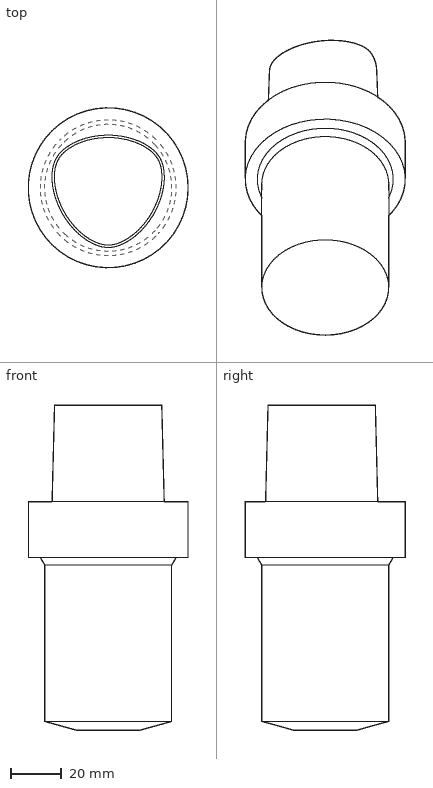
import cadquery as cq
import math

flange_diameter = 62.98
flange_height = 22.0
shank_diameter = 50.0
total_height = 128.0

polygon_height = 38.0
polygon_width = 44.2
polygon_taper = 1 / 20
lobe_eccentricity = 1.4
profile_points = 48

neck_height = 3.0
neck_half_angle = math.radians(30)

tip_radius = 12.25
tip_angle = math.radians(15.5)

shank_radius = shank_diameter / 2
flange_radius = flange_diameter / 2
flange_bottom = -flange_height
neck_bottom = flange_bottom - neck_height
neck_radius = shank_radius + neck_height * math.tan(neck_half_angle)
shank_bottom = polygon_height - total_height
tip_height = (shank_radius - tip_radius) * math.tan(tip_angle)


def make_body():
    """Flange, neck and shank as one turned solid about the Z axis."""
    return (
        cq.Workplane("XZ")
        .moveTo(0, 0)
        .lineTo(flange_radius, 0)
        .lineTo(flange_radius, flange_bottom)
        .lineTo(neck_radius, flange_bottom)
        .lineTo(shank_radius, neck_bottom)
        .lineTo(shank_radius, shank_bottom + tip_height)
        .lineTo(tip_radius, shank_bottom)
        .lineTo(0, shank_bottom)
        .close()
        .revolve(360, (0, 0, 0), (0, 1, 0))
    )


def lobe_point(width, angle):
    """Profile point whose outward normal makes the given angle with the -Y lobe."""
    reach = width / 2 + lobe_eccentricity * math.cos(3 * angle)
    slide = -3 * lobe_eccentricity * math.sin(3 * angle)
    along_lobe = reach * math.cos(angle) - slide * math.sin(angle)
    across_lobe = reach * math.sin(angle) + slide * math.cos(angle)
    return cq.Vector(across_lobe, -along_lobe)


def lobed_wire(width, height):
    """Closed smooth three-lobed outline at the given height."""
    step = 2 * math.pi / profile_points
    points = [lobe_point(width, step * i) for i in range(profile_points)]
    outline = cq.Edge.makeSpline(points, periodic=True)
    return cq.Wire.assembleEdges([outline]).translate(cq.Vector(0, 0, height))


def make_polygon():
    """Tapered three-lobed polygon standing on the flange."""
    top_width = polygon_width - polygon_taper * polygon_height
    base = lobed_wire(polygon_width, 0)
    top = lobed_wire(top_width, polygon_height)
    return cq.Workplane(obj=cq.Solid.makeLoft([base, top], True))


result = make_body().union(make_polygon())